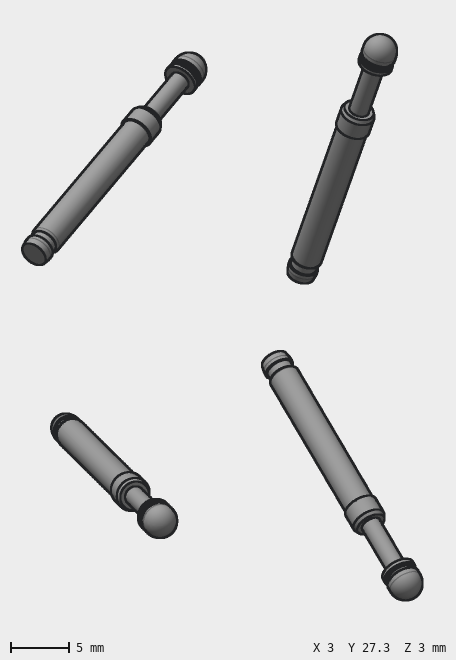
import cadquery as cq
import math

total_length = 27.3

head_radius = 1.5
head_length = 3.0
head_cylinder_length = 0.5
groove_radius = 1.25
groove_width = 0.6
groove_taper_length = 0.15
groove_taper_angle = 25

shaft_radius = 0.875
shaft_length = 5.3

collar_radius = 1.5
collar_length = 2.0
collar_taper_length = 0.4
collar_taper_angle = 25

barrel_radius = 1.35
barrel_crown_length = 0.25
barrel_face_radius = 1.18

neck_radius = 1.15
neck_length = 0.75
button_radius = 1.3
button_length = 1.0
button_taper_length = 0.6
button_taper_angle = 10

barrel_rear = button_length + neck_length
head_rear = total_length - head_length
collar_front = head_rear - shaft_length
collar_rear = collar_front - collar_length
dome_base = total_length - head_radius
groove_front = dome_base - head_cylinder_length
groove_rear = groove_front - groove_width


def taper_drop(length, angle):
    """Change of radius over a taper, with the angle in degrees from the axis."""
    return length * math.tan(math.radians(angle))


def button_and_neck(profile):
    """End button tapering toward the rear face, and the neck ahead of it."""
    face_radius = button_radius - taper_drop(button_taper_length, button_taper_angle)
    return (
        profile.lineTo(face_radius, 0)
        .lineTo(button_radius, button_taper_length)
        .lineTo(button_radius, button_length)
        .lineTo(neck_radius, button_length)
        .lineTo(neck_radius, barrel_rear)
    )


def barrel(profile):
    """Barrel with its rear end rounded down toward the neck."""
    drop = barrel_radius - barrel_face_radius
    arc_radius = (barrel_crown_length**2 + drop**2) / (2 * drop)
    half_angle = math.atan2(drop, barrel_crown_length)
    crown_front = barrel_rear + barrel_crown_length
    arc_middle = (
        barrel_radius - arc_radius * (1 - math.cos(half_angle)),
        crown_front - arc_radius * math.sin(half_angle),
    )
    return (
        profile.lineTo(barrel_face_radius, barrel_rear)
        .threePointArc(arc_middle, (barrel_radius, crown_front))
        .lineTo(barrel_radius, collar_rear)
    )


def collar(profile):
    """Collar with a tapered front end."""
    face_radius = collar_radius - taper_drop(collar_taper_length, collar_taper_angle)
    return (
        profile.lineTo(collar_radius, collar_rear)
        .lineTo(collar_radius, collar_front - collar_taper_length)
        .lineTo(face_radius, collar_front)
    )


def shaft(profile):
    """Thin plunger shaft between the collar and the head."""
    return profile.lineTo(shaft_radius, collar_front).lineTo(shaft_radius, head_rear)


def groove(profile):
    """Head groove whose floor rises in a short taper at each wall."""
    wall_foot_radius = groove_radius + taper_drop(groove_taper_length, groove_taper_angle)
    return (
        profile.lineTo(head_radius, groove_rear)
        .lineTo(wall_foot_radius, groove_rear)
        .lineTo(groove_radius, groove_rear + groove_taper_length)
        .lineTo(groove_radius, groove_front - groove_taper_length)
        .lineTo(wall_foot_radius, groove_front)
        .lineTo(head_radius, groove_front)
    )


def head(profile):
    """Grooved head with a hemispherical dome."""
    profile = groove(profile.lineTo(head_radius, head_rear))
    dome_reach = head_radius * math.sqrt(0.5)
    return profile.lineTo(head_radius, dome_base).threePointArc(
        (dome_reach, dome_base + dome_reach), (0, total_length)
    )


outline = cq.Workplane("XY").moveTo(0, 0)
for section in (button_and_neck, barrel, collar, shaft, head):
    outline = section(outline)

result = outline.close().revolve(360, (0, 0, 0), (0, 1, 0))